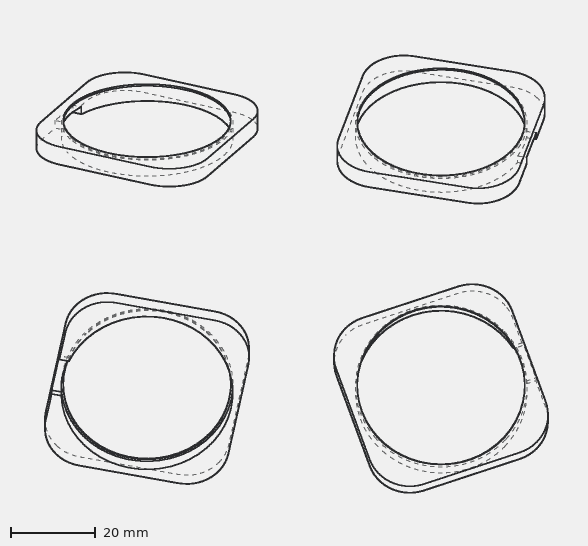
import cadquery as cq

side = 44.0
thickness = 4.7
corner_radius = 10.05

lip_diameter = 39.5
bore_diameter = 40.5
lip_thickness = 0.5

notch_width = 9.35
notch_height = 2.0


def make_frame():
    return (
        cq.Workplane("XY")
        .rect(side, side)
        .extrude(thickness)
        .edges("|Z")
        .fillet(corner_radius)
    )


def make_opening():
    lip = cq.Workplane("XY").circle(lip_diameter / 2).extrude(thickness)
    bore = cq.Workplane("XY").circle(bore_diameter / 2).extrude(thickness - lip_thickness)
    return lip.union(bore)


def make_notch():
    return cq.Workplane("XY").box(
        side / 2, notch_width, notch_height, centered=(False, True, False)
    ).translate((-side / 2, 0, 0))


result = make_frame().cut(make_opening()).cut(make_notch())